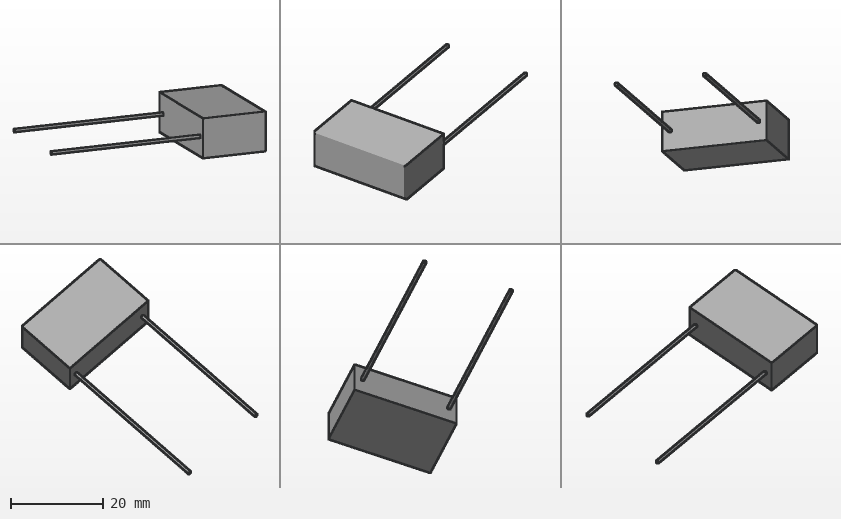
import cadquery as cq


CASE_WIDTH = 24.0
CASE_LENGTH = 15.0
CASE_HEIGHT = 9.0
BACK_EDGE_RADIUS = 0.5

OVERALL_LENGTH = 50.0
LEAD_LENGTH = OVERALL_LENGTH - CASE_LENGTH
LEAD_DIAMETER = 0.8
LEAD_PITCH = 20.3


def make_case():
    """Block centred on X and Z, with its +Y face rounded all round."""
    block = cq.Workplane("XY").box(
        CASE_WIDTH, CASE_LENGTH, CASE_HEIGHT, centered=(True, False, True)
    )
    return block.faces(">Y").edges().fillet(BACK_EDGE_RADIUS)


def make_lead(x):
    """Round wire butting against the Y = 0 face of the case."""
    return (
        cq.Workplane("XZ")
        .center(x, 0)
        .circle(LEAD_DIAMETER / 2)
        .extrude(LEAD_LENGTH)
    )


case = make_case()
leads = [make_lead(side * LEAD_PITCH / 2) for side in (-1, 1)]

result = cq.Compound.makeCompound([case.val(), *[lead.val() for lead in leads]])